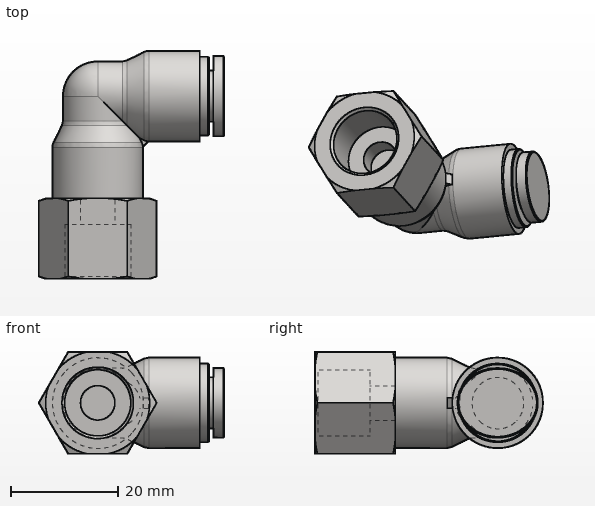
import cadquery as cq
import math


elbow_radius = 6.5
arm_radius = 16.9 / 2
arm_length = 19.0
flare_start = 5.0
flare_end = 9.0
flare_blend_radius = 2.0
flare_selection_margin = 0.42
web_thickness = 2.0
web_reach = 9.42

nut_length = 15.0
nut_sides = 6
across_flats = 19.0
across_corners = across_flats / math.cos(math.pi / nut_sides)
nut_face_diameter = 19.35
nut_corner_drop = 0.45
bore_diameter = 12.3
bore_depth = 10.2
bore_chamfer = 0.5
passage_diameter = 6.4

collar_diameter = 14.7
collar_length = 1.7
collar_chamfer = 0.2

neck_diameter = 9.6
neck_length = 0.8
flange_width = 15.0
flange_height = 13.0
flange_thickness = 2.05
flange_chamfer = 0.2


def make_arm():
    """One arm of the housing along +X, flaring from the elbow to the full arm radius."""
    profile = (
        cq.Workplane("XY")
        .polyline([
            (0, 0),
            (0, elbow_radius),
            (flare_start, elbow_radius),
            (flare_end, arm_radius),
            (arm_length, arm_radius),
            (arm_length, 0),
        ])
        .close()
    )
    arm = profile.revolve(360, (0, 0, 0), (1, 0, 0))
    flare_edges = arm.edges(
        cq.selectors.BoxSelector(
            (flare_start - flare_selection_margin, -arm_length, -arm_length),
            (flare_end + flare_selection_margin, arm_length, arm_length),
        )
    ).edges("%CIRCLE")
    return flare_edges.fillet(flare_blend_radius)


def make_housing():
    """Two equal arms joined by a ball at the bend and a web in the inner corner."""
    tube_arm = make_arm()
    nut_arm = tube_arm.rotate((0, 0, 0), (0, 0, 1), -90)
    ball = cq.Workplane("XY").sphere(elbow_radius)
    web = (
        cq.Workplane("XY")
        .polyline([
            (0, 0),
            (web_reach, -arm_radius),
            (arm_radius, -web_reach),
        ])
        .close()
        .extrude(web_thickness / 2, both=True)
    )
    return tube_arm.union(nut_arm).union(ball).union(web)


def make_nut_envelope():
    """Round blank coned at both ends, which trims the corners of the hexagon."""
    face_radius = nut_face_diameter / 2
    corner_radius = across_corners / 2
    front = -arm_length - nut_length
    return (
        cq.Workplane("XY")
        .polyline([
            (0, -arm_length),
            (face_radius, -arm_length),
            (corner_radius, -arm_length - nut_corner_drop),
            (corner_radius, front + nut_corner_drop),
            (face_radius, front),
            (0, front),
        ])
        .close()
        .revolve(360, (0, 0, 0), (0, 1, 0))
    )


def make_nut():
    """Hexagonal nut with a chamfered bore and a smaller passage through its floor."""
    hexagon = (
        cq.Workplane("XZ", origin=(0, -arm_length, 0))
        .polygon(nut_sides, across_corners)
        .extrude(nut_length)
    )
    blank = hexagon.intersect(make_nut_envelope())
    bored = (
        blank.faces("<Y").workplane(origin=(0, 0, 0))
        .hole(bore_diameter, bore_depth)
    )
    chamfered = bored.faces("<Y").edges("%CIRCLE").edges(
        cq.selectors.RadiusNthSelector(0)
    ).chamfer(bore_chamfer)
    return chamfered.faces("<Y").workplane(origin=(0, 0, 0)).hole(passage_diameter)


def make_collar():
    """Plain collar seated on the end of the tube arm."""
    return (
        cq.Workplane("YZ", origin=(arm_length, 0, 0))
        .circle(collar_diameter / 2)
        .extrude(collar_length)
        .faces(">X").edges().chamfer(collar_chamfer)
    )


def make_release_ring():
    """Round neck carrying an oval push flange with a chamfered outer rim."""
    neck_start = arm_length + collar_length
    flange_start = neck_start + neck_length
    neck = (
        cq.Workplane("YZ", origin=(neck_start, 0, 0))
        .circle(neck_diameter / 2)
        .extrude(neck_length)
    )
    flange = (
        cq.Workplane("YZ", origin=(flange_start, 0, 0))
        .ellipse(flange_width / 2, flange_height / 2)
        .extrude(flange_thickness)
        .faces(">X").edges().chamfer(flange_chamfer)
    )
    return neck.union(flange)


housing = make_housing()
nut = make_nut()
collar = make_collar()
release_ring = make_release_ring()

result = cq.Compound.makeCompound([
    housing.val(),
    nut.val(),
    collar.val(),
    release_ring.val(),
])